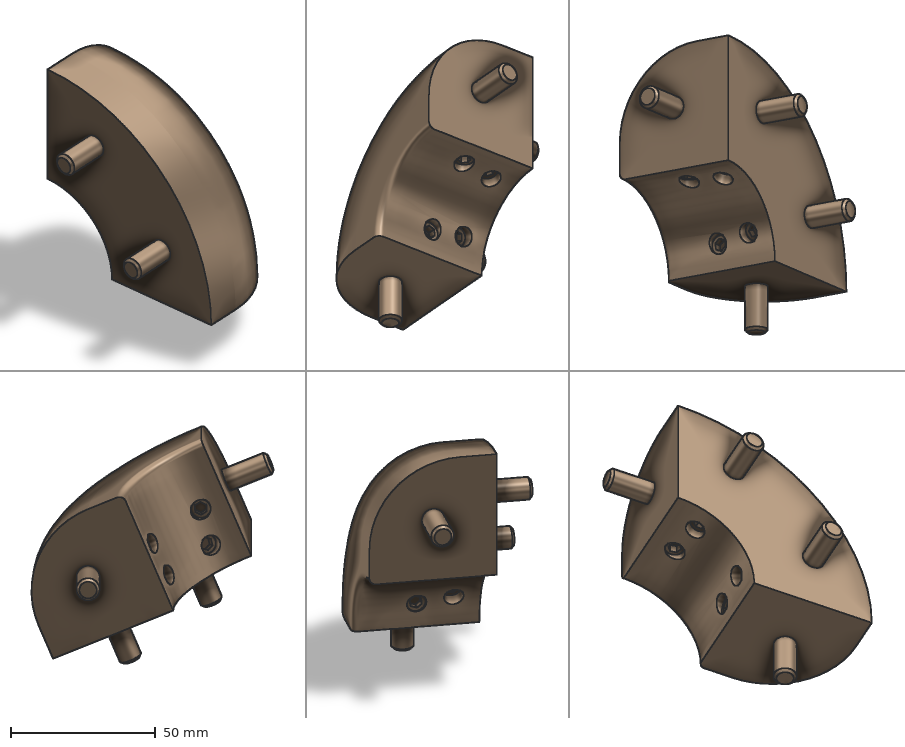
import cadquery as cq
import math

bar_width = 45.0
inner_radius = 29.2
outer_radius = inner_radius + bar_width
outer_fillet = 31.9
inner_fillet = 2.4

pin_radius = 4.0
pin_projection = 16.5
pin_embedment = pin_projection
pin_chamfer = 1.0

screw_radius = 3.45
screw_length = 18.6
screw_inset = 9.5
socket_corner_diameter = 4.6
socket_depth = 3.0
end_socket_turn = 20
side_socket_turn = 10

mid_radius = inner_radius + bar_width / 2
mid_depth = bar_width / 2
side_pin_angle = 22.5
side_pin_radius = mid_radius / math.cos(math.radians(side_pin_angle))
side_pin_angles = (side_pin_angle, 90 - side_pin_angle)


def radial_direction(angle):
    """Unit vector at an angle from +X towards +Z."""
    return cq.Vector(math.cos(math.radians(angle)), 0, math.sin(math.radians(angle)))


def side_pin_plane(angle):
    centre = radial_direction(angle) * side_pin_radius
    return cq.Plane(origin=centre.toTuple(), xDir=(1, 0, 0), normal=(0, -1, 0))


def screw_plane(pin_point, direction, socket_turn):
    """Plane on the socket face, its normal pointing at the clamped pin and its X at a hex corner."""
    origin = pin_point - direction * (pin_radius + screw_length)
    plane = cq.Plane(origin=origin.toTuple(), xDir=(0, 1, 0), normal=direction.toTuple())
    return plane.rotated((0, 0, socket_turn))


end_pin_planes = [
    cq.Plane(origin=(0, mid_depth, mid_radius), xDir=(0, 1, 0), normal=(-1, 0, 0)),
    cq.Plane(origin=(mid_radius, mid_depth, 0), xDir=(1, 0, 0), normal=(0, 0, -1)),
]
pin_planes = end_pin_planes + [side_pin_plane(angle) for angle in side_pin_angles]

screw_planes = [
    screw_plane(cq.Vector(screw_inset, mid_depth, mid_radius), cq.Vector(0, 0, 1), end_socket_turn),
    screw_plane(cq.Vector(mid_radius, mid_depth, screw_inset), cq.Vector(1, 0, 0), end_socket_turn),
]
for angle in side_pin_angles:
    direction = radial_direction(angle)
    pin_point = direction * side_pin_radius + cq.Vector(0, screw_inset, 0)
    screw_planes.append(screw_plane(pin_point, direction, side_socket_turn))


def cylinder(plane, radius, start, end):
    """Cylinder along the plane's normal between two offsets from the plane."""
    return cq.Workplane(plane).workplane(offset=start).circle(radius).extrude(end - start)


def make_pin(plane):
    pin = cylinder(plane, pin_radius, -pin_embedment, pin_projection)
    return pin.faces("%PLANE").chamfer(pin_chamfer)


def make_screw(plane):
    screw = cylinder(plane, screw_radius, 0, screw_length)
    socket = cq.Workplane(plane).polygon(6, socket_corner_diameter).extrude(socket_depth)
    return screw.cut(socket)


def make_housing():
    profile = (
        cq.Workplane("XY")
        .moveTo(inner_radius, 0)
        .lineTo(outer_radius, 0)
        .lineTo(outer_radius, bar_width - outer_fillet)
        .tangentArcPoint((outer_radius - outer_fillet, bar_width), relative=False)
        .lineTo(inner_radius + inner_fillet, bar_width)
        .tangentArcPoint((inner_radius, bar_width - inner_fillet), relative=False)
        .close()
    )
    housing = profile.revolve(90, (0, 0, 0), (0, -1, 0))
    for plane in pin_planes:
        housing = housing.cut(cylinder(plane, pin_radius, -pin_embedment, 0))
    for plane in screw_planes:
        housing = housing.cut(cylinder(plane, screw_radius, -inner_radius / 2, screw_length))
    return housing


housing = make_housing()
pins = [make_pin(plane) for plane in pin_planes]
screws = [make_screw(plane) for plane in screw_planes]

result = cq.Compound.makeCompound(
    [housing.val()] + [pin.val() for pin in pins] + [screw.val() for screw in screws]
)